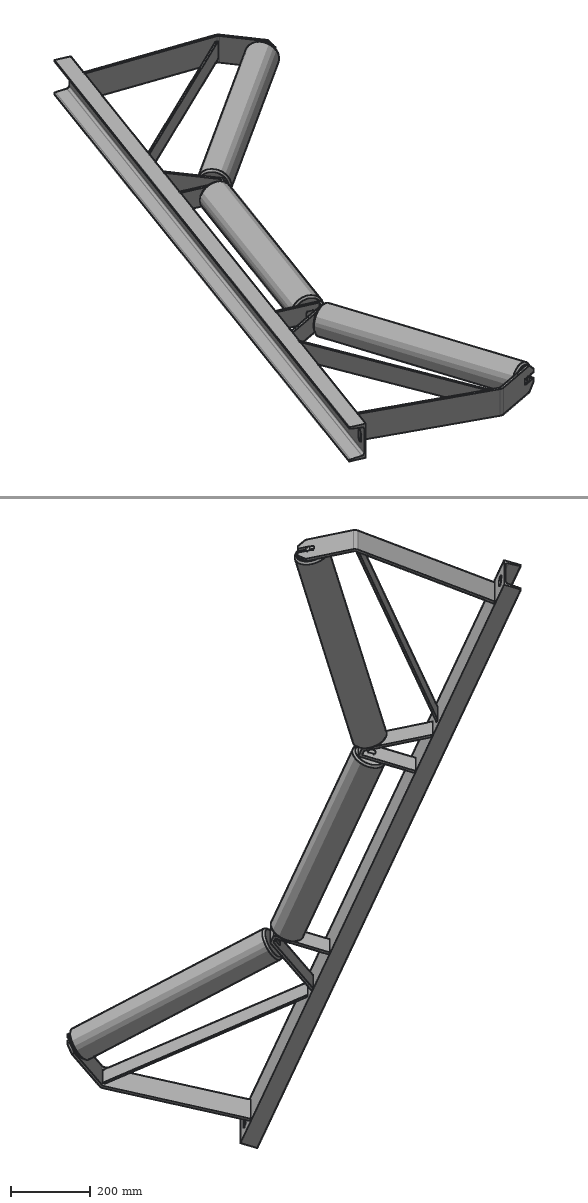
import cadquery as cq
import math

beam_length = 1900.0
beam_height = 103.0
flange_width = 45.0
web_thickness = 4.5
flange_tip_thickness = 5.5
flange_slope = 0.1
root_radius = 7.0
tip_radius = 3.0
slot_width = 17.0
slot_height = 35.0
slot_end_distance = 28.0

roller_diameter = 90.0
roller_length = 600.0
roller_chamfer = 5.0
spindle_diameter = 23.0
spindle_flat_width = 17.0
trough_angle = 35.0
roller_tilt = 1.8
centre_roller_y = 120.0
centre_roller_z = -18.8
side_roller_x = 593.0
side_roller_y = 308.0

bar_thickness = 8.0
arm_height = 80.0
arm_middle_z = 0.0
plate_pitch = 618.0
arm_tip_length = 32.0
arm_shank_length = 118.0
arm_tip_chamfer = 20.0
arm_foot_x = -880.0
arm_bend_radius = 10.0
bracket_top_y = 148.0
bracket_height = 55.0
brace_thickness = 5.0
brace_height = 53.0
brace_middle_z = -2.0
brace_foot_x = -467.0

angle = math.radians(trough_angle)
tilt = math.radians(roller_tilt)
axis_x, axis_y = -math.cos(angle), math.sin(angle)
plate_x, plate_y = math.sin(angle), math.cos(angle)
spindle_length = plate_pitch + bar_thickness
side_roller_z = centre_roller_z + plate_pitch / 2 * math.sin(tilt)
foot_overrun = 19.0


def edges_near(y, z):
    """Selector for the pair of edges along X at (y, z) and (y, -z)."""
    reach = 1.0
    span = beam_length
    upper = cq.selectors.BoxSelector((-span, y - reach, z - reach), (span, y + reach, z + reach))
    lower = cq.selectors.BoxSelector((-span, y - reach, -z - reach), (span, y + reach, -z + reach))
    return upper + lower


def nearest(plan_point, z):
    """Selector for the edge whose middle is nearest to a plan point at height z."""
    return cq.selectors.NearestToPointSelector((*plan_point, z))


def make_beam():
    """Channel with tapered flanges and an upright slot near each end."""
    half = beam_height / 2
    web_face = -web_thickness
    flange_root = flange_tip_thickness + flange_slope * (flange_width - web_thickness)
    section = [
        (0, -half),
        (0, half),
        (-flange_width, half),
        (-flange_width, half - flange_tip_thickness),
        (web_face, half - flange_root),
        (web_face, flange_root - half),
        (-flange_width, flange_tip_thickness - half),
        (-flange_width, -half),
    ]
    beam = cq.Workplane("YZ", origin=(-beam_length / 2, 0, 0)).polyline(section).close()
    beam = beam.extrude(beam_length)
    beam = beam.edges(edges_near(web_face, half - flange_root)).fillet(root_radius)
    beam = beam.edges(edges_near(-flange_width, half - flange_tip_thickness)).fillet(tip_radius)
    slot_x = beam_length / 2 - slot_end_distance
    slots = cq.Workplane("XZ").pushPoints([(-slot_x, 0), (slot_x, 0)])
    slots = slots.slot2D(slot_height, slot_width, 90).extrude(web_thickness)
    return beam.cut(slots)


def rod(diameter, length):
    """Cylinder along X, centred on the origin."""
    return cq.Workplane("YZ", origin=(-length / 2, 0, 0)).circle(diameter / 2).extrude(length)


def make_roller():
    """Roller along X about the origin, with two flats on each spindle end."""
    shell = rod(roller_diameter, roller_length)
    shell = shell.faces("<X or >X").chamfer(roller_chamfer)
    spindle = rod(spindle_diameter, spindle_length)
    flats = cq.Workplane("XY").box(spindle_length, spindle_diameter, spindle_flat_width)
    return shell.union(spindle.intersect(flats))


def place_centre(body):
    """Move a body from the origin onto the centre roller's axis."""
    return body.translate((0, centre_roller_y, centre_roller_z))


def place_left(body):
    """Tilt and swing a body from the X axis onto the left roller's axis; -X is its outer end."""
    body = body.rotate((0, 0, 0), (0, 1, 0), roller_tilt)
    body = body.rotate((0, 0, 0), (0, 0, 1), -trough_angle)
    return body.translate((-side_roller_x, side_roller_y, side_roller_z))


def left_axis_point(distance):
    """Plan point on the left roller's axis, a distance outward from its middle."""
    return -side_roller_x + distance * axis_x, side_roller_y + distance * axis_y


def offset_line(points, offset):
    """Polyline parallel to the given one, with mitred corners."""
    last = len(points) - 1
    normals = []
    for (x0, y0), (x1, y1) in zip(points, points[1:]):
        length = math.hypot(x1 - x0, y1 - y0)
        normals.append(((y0 - y1) / length, (x1 - x0) / length))
    shifted = []
    for i, (x, y) in enumerate(points):
        ax, ay = normals[max(i - 1, 0)]
        bx, by = normals[min(i, last - 1)]
        scale = offset / (1 + ax * bx + ay * by)
        shifted.append((x + scale * (ax + bx), y + scale * (ay + by)))
    return shifted


def flat_bar(points, thickness, height, middle_z):
    """Upright flat bar along a plan centreline, trimmed to the web back at Y = 0."""
    left_side = offset_line(points, thickness / 2)
    right_side = offset_line(points, -thickness / 2)
    bar = cq.Workplane("XY", origin=(0, 0, middle_z - height / 2))
    bar = bar.polyline(left_side + right_side[::-1]).close().extrude(height)
    trim = cq.Workplane("XY").box(beam_length, beam_length, 2 * beam_height).translate((0, -beam_length / 2, 0))
    return bar.cut(trim)


def below_foot(start, foot_x):
    """Point past the foot (foot_x, 0) on the line from start, so the trim leaves a flush foot."""
    x, y = start
    return foot_x + (foot_x - x) / y * foot_overrun, -foot_overrun


def arm_bend_point():
    """Plan point where the arm's centreline turns toward the beam."""
    x, y = left_axis_point(plate_pitch / 2)
    return x - arm_shank_length * plate_x, y - arm_shank_length * plate_y


def make_left_arm(side_roller):
    """Outer arm: a bent bar with a chamfered tip and an open slot for the spindle."""
    axis_point = left_axis_point(plate_pitch / 2)
    bend = arm_bend_point()
    tip = (axis_point[0] + arm_tip_length * plate_x, axis_point[1] + arm_tip_length * plate_y)
    centreline = [tip, bend, below_foot(bend, arm_foot_x)]
    arm = flat_bar(centreline, bar_thickness, arm_height, arm_middle_z)

    inner_corner = offset_line(centreline, bar_thickness / 2)[1]
    outer_corner = offset_line(centreline, -bar_thickness / 2)[1]
    arm = arm.edges(nearest(inner_corner, arm_middle_z)).fillet(arm_bend_radius)
    arm = arm.edges(nearest(outer_corner, arm_middle_z)).fillet(arm_bend_radius + bar_thickness)
    for side in (-1, 1):
        arm = arm.edges(nearest(tip, arm_middle_z + side * arm_height / 2)).chamfer(arm_tip_chamfer)

    slot_depth = 2 * arm_tip_length
    slot = cq.Workplane("XY").box(spindle_diameter, slot_depth, spindle_flat_width)
    slot = slot.translate((-plate_pitch / 2, slot_depth / 2, 0))
    return arm.cut(place_left(slot)).cut(side_roller)


def make_left_brace(arm):
    """Straight bar from the arm's bend to the web."""
    bend = arm_bend_point()
    centreline = [bend, below_foot(bend, brace_foot_x)]
    brace = flat_bar(centreline, brace_thickness, brace_height, brace_middle_z)
    return brace.cut(arm)


def make_left_bracket(side_roller, centre_roller):
    """Inner bracket: one folded bar carrying a side roller and the centre roller."""
    axis_point = left_axis_point(-plate_pitch / 2)
    slope = plate_x / plate_y
    fold_x = axis_point[0] + (bracket_top_y - axis_point[1]) * slope
    fold = (fold_x, bracket_top_y)
    foot_x = fold_x - bracket_top_y * slope
    upright_x = -plate_pitch / 2
    centreline = [below_foot(fold, foot_x), fold, (upright_x, bracket_top_y), (upright_x, -foot_overrun)]
    bracket = flat_bar(centreline, bar_thickness, bracket_height, centre_roller_z)
    return bracket.cut(side_roller).cut(centre_roller)


def with_mirror(body):
    """The left body and its mirror image on the right, as two separate solids."""
    return [body.solids().val(), body.mirror("YZ").solids().val()]


beam = make_beam()
centre_roller = place_centre(make_roller())
left_roller = place_left(make_roller())
left_arm = make_left_arm(left_roller)
left_brace = make_left_brace(left_arm)
left_bracket = make_left_bracket(left_roller, centre_roller)

bodies = [beam.solids().val(), centre_roller.solids().val()]
for left_body in (left_roller, left_arm, left_brace, left_bracket):
    bodies += with_mirror(left_body)
result = cq.Compound.makeCompound(bodies)